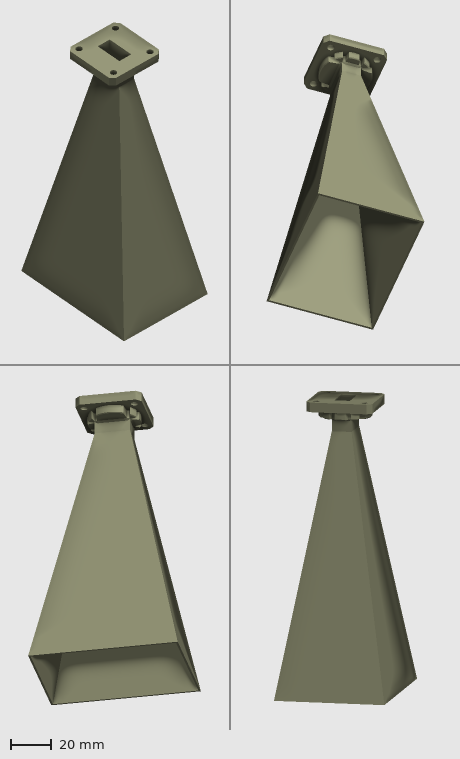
import cadquery as cq
import math

total_height = 146.0
mouth_x, mouth_y = 75.2, 55.6
bore_x, bore_y = 15.8, 7.9
wall = 1.0
neck_x, neck_y = bore_x + 2 * wall, bore_y + 2 * wall
flare_height = 130.7

flange_side = 33.3
flange_thickness = 4.8
flange_chamfer = 2.5
hole_pitch_x, hole_pitch_y = 25.3, 24.2
hole_diameter = 3.7

boss_radius = 13.3
boss_height = 4.2
boss_edge_chamfer = 0.5
pad_x_tip, pad_x_root = 5.3, 12.5
pad_y_tip, pad_y_root = 13.1, 16.4
corner_pad_direction = 45.0
corner_pad_spread = 63.0
corner_pad_inset = 0.3

core_margin = 0.95
core_corner_radius = 2.8
collar_height = 1.0
collar_taper = 45.0

flange_bottom = total_height - flange_thickness
boss_bottom = flange_bottom - boss_height


def frustum(bottom_x, bottom_y, top_x, top_y, z_bottom, z_top):
    """Rectangular frustum centred on the Z axis."""
    return (
        cq.Workplane("XY", origin=(0, 0, z_bottom))
        .rect(bottom_x, bottom_y)
        .workplane(offset=z_top - z_bottom)
        .rect(top_x, top_y)
        .loft(ruled=True)
    )


def horn_body():
    flare = frustum(mouth_x, mouth_y, neck_x, neck_y, 0, flare_height)
    neck = frustum(neck_x, neck_y, neck_x, neck_y, flare_height, total_height)
    return flare.union(neck)


def waveguide_bore():
    """Air inside the horn, one wall thickness inside its outer faces."""
    flare = frustum(mouth_x - 2 * wall, mouth_y - 2 * wall, bore_x, bore_y, 0, flare_height)
    neck = frustum(bore_x, bore_y, bore_x, bore_y, flare_height, total_height)
    return flare.union(neck)


def flange():
    return (
        cq.Workplane("XY", origin=(0, 0, flange_bottom))
        .rect(flange_side, flange_side)
        .extrude(flange_thickness)
        .edges("|Z")
        .chamfer(flange_chamfer)
    )


def bolt_holes():
    return (
        cq.Workplane("XY", origin=(0, 0, flange_bottom))
        .rect(hole_pitch_x, hole_pitch_y, forConstruction=True)
        .vertices()
        .circle(hole_diameter / 2)
        .extrude(flange_thickness)
    )


def boss_prism(points):
    """Prism over a closed outline, as tall as the boss."""
    return cq.Workplane("XY", origin=(0, 0, boss_bottom)).polyline(points).close().extrude(boss_height)


def side_pad(tip_width, root_width, angle):
    """Pad tapering from the Z axis out to the boss rim, in the direction `angle`."""
    outline = [
        (0, -root_width / 2),
        (boss_radius, -tip_width / 2),
        (boss_radius, tip_width / 2),
        (0, root_width / 2),
    ]
    return boss_prism(outline).rotate((0, 0, 0), (0, 0, 1), angle)


def corner_pad(side_x, side_y):
    """Wedge that spreads diagonally from one neck corner out past the boss rim."""
    apex_x = neck_x / 2 - corner_pad_inset
    apex_y = neck_y / 2 - corner_pad_inset
    outline = [(apex_x, apex_y)]
    for flank in (-1, 1):
        angle = math.radians(corner_pad_direction + flank * corner_pad_spread / 2)
        reach_x = boss_radius * math.cos(angle)
        reach_y = boss_radius * math.sin(angle)
        outline.append((apex_x + reach_x, apex_y + reach_y))
    return boss_prism([(side_x * x, side_y * y) for x, y in outline])


def boss_pads():
    pads = cq.Workplane("XY")
    for side, angle in ((1, 0), (-1, 180)):
        pads = pads.union(side_pad(pad_x_tip, pad_x_root, angle))
        pads = pads.union(side_pad(pad_y_tip, pad_y_root, angle + 90))
        pads = pads.union(corner_pad(side, 1)).union(corner_pad(side, -1))
    disc = cq.Workplane("XY", origin=(0, 0, boss_bottom)).circle(boss_radius).extrude(boss_height)
    return disc.faces("<Z").chamfer(boss_edge_chamfer).intersect(pads)


def boss_core():
    """Rounded rectangle that narrows below the boss until it disappears into the neck."""
    outline = cq.Sketch().rect(neck_x + 2 * core_margin, neck_y + 2 * core_margin)
    outline = outline.vertices().fillet(core_corner_radius)
    base = cq.Workplane("XY", origin=(0, 0, boss_bottom)).placeSketch(outline)
    return base.extrude(boss_height).union(base.extrude(-collar_height, taper=collar_taper))


solid = horn_body().union(flange()).union(boss_pads()).union(boss_core())
result = solid.cut(waveguide_bore()).cut(bolt_holes())